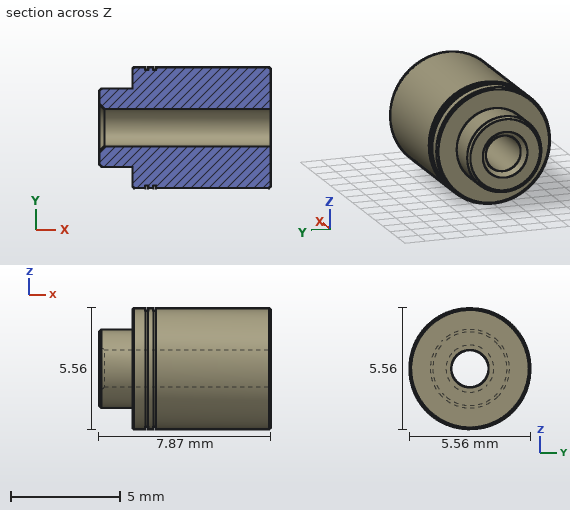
import cadquery as cq

total_length = 7.87
body_diameter = 5.56
body_chamfer = 0.08

spigot_diameter = 3.62
spigot_length = 1.52
spigot_chamfer = 0.115

bore_diameter = 1.7
bore_mouth_diameter = 2.18
bore_mouth_depth = (bore_mouth_diameter - bore_diameter) / 2

groove_width = 0.12
groove_depth = 0.11
first_groove_offset = 0.6
groove_pitch = 0.36
groove_count = 2


def cylinder(start, length, diameter):
    """Solid cylinder along +X from x = start."""
    return cq.Workplane("YZ", origin=(start, 0, 0)).circle(diameter / 2).extrude(length)


def make_body():
    body_length = total_length - spigot_length
    return cylinder(spigot_length, body_length, body_diameter).edges("%CIRCLE").chamfer(body_chamfer)


def make_spigot():
    return cylinder(0, spigot_length, spigot_diameter).faces("<X").edges().chamfer(spigot_chamfer)


def make_groove(start):
    """Ring that cuts one shallow square groove around the body."""
    floor_diameter = body_diameter - 2 * groove_depth
    outer = cylinder(start, groove_width, body_diameter + groove_depth)
    return outer.cut(cylinder(start, groove_width, floor_diameter))


def make_bore():
    """Through bore with a conical mouth at the spigot face."""
    bore = cylinder(0, total_length, bore_diameter)
    mouth = cq.Solid.makeCone(
        bore_mouth_diameter / 2,
        bore_diameter / 2,
        bore_mouth_depth,
        pnt=cq.Vector(0, 0, 0),
        dir=cq.Vector(1, 0, 0),
    )
    return bore.union(cq.Workplane(mouth))


result = make_body().union(make_spigot())
for index in range(groove_count):
    result = result.cut(make_groove(spigot_length + first_groove_offset + index * groove_pitch))
result = result.cut(make_bore())